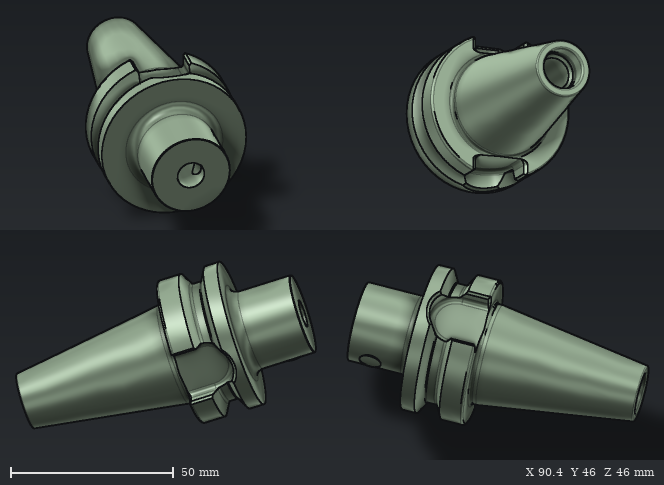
import cadquery as cq
import math

TOTAL_LENGTH = 90.4
GAUGE_X = 48.3
FLANGE_FRONT_X = 50.5
FLANGE_BACK_X = 70.4

GAUGE_RADIUS = 15.9
TAPER_SLOPE = 7 / 48
TAPER_ANGLE = math.atan(TAPER_SLOPE)
TAPER_TIP_FILLET = 0.45

FLANGE_RADIUS = 23.01
FLANGE_ROOT_FILLET = 1.1
FLANGE_FRONT_FILLET = 0.7
GROOVE_FRONT_X = 57.9
GROOVE_BACK_X = 65.9
GROOVE_BOTTOM_RADIUS = 18.94
GROOVE_FLANK_ANGLE = math.radians(30)
GROOVE_FLANK_LENGTH = (FLANGE_RADIUS - GROOVE_BOTTOM_RADIUS) * math.tan(GROOVE_FLANK_ANGLE)
GROOVE_FRONT_FILLET = 1.0
GROOVE_BACK_FILLET = 0.45

NOSE_RADIUS = 12.5
NOSE_ROOT_FILLET = 3.0
NOSE_TIP_CHAMFER = 0.2

SLOT_HALF_WIDTH = 8.05
SLOT_ARC_CENTER_X = 59.3
SLOT_FLOOR_Z = 16.2
SLOT_FLOOR_FILLET = 1.6
SLOT_EDGE_CHAMFER = 0.9
SLOT_MOUTH_LENGTH = 0.7
SLOT_MOUTH_WIDTH = 1.0

MOUTH_FILLET = 0.6
COUNTERBORE_RADIUS = 6.2
COUNTERBORE_END_X = 7.2
RELIEF_START_X = 4.9
RELIEF_END_X = 6.8
RELIEF_DEPTH = 0.2
RELIEF_FLANK_LENGTH = 0.6
DRAWBAR_BORE_RADIUS = 5.11
DRAWBAR_BORE_START_X = 8.0
DRAWBAR_BORE_END_X = 24.4
THROUGH_RADIUS = 4.25

SCREW_X = 83.1
SCREW_RADIUS = 3.4
SCREW_TOP_Y = NOSE_RADIUS - 0.1

CUT_CLEARANCE = 1.8
TOLERANCE = 0.001


def taper_radius(x):
    return GAUGE_RADIUS - (GAUGE_X - x) * TAPER_SLOPE


def revolve_about_x(outline):
    return outline.close().revolve(360, (0, 0, 0), (1, 0, 0))


def groove_profile(outline):
    """Continue the outline from the front rim of the V-groove, down and up to its back rim."""
    half_turn = (math.pi / 2 - GROOVE_FLANK_ANGLE) / 2
    front_setback = GROOVE_FRONT_FILLET * math.tan(half_turn)
    back_setback = GROOVE_BACK_FILLET * math.tan(half_turn)
    front_corner_x = GROOVE_FRONT_X + GROOVE_FLANK_LENGTH
    back_corner_x = GROOVE_BACK_X - GROOVE_FLANK_LENGTH
    along = math.sin(GROOVE_FLANK_ANGLE)
    outward = math.cos(GROOVE_FLANK_ANGLE)
    return (
        outline.lineTo(GROOVE_FRONT_X, FLANGE_RADIUS)
        .lineTo(front_corner_x - front_setback * along, GROOVE_BOTTOM_RADIUS + front_setback * outward)
        .radiusArc((front_corner_x + front_setback, GROOVE_BOTTOM_RADIUS), -GROOVE_FRONT_FILLET)
        .lineTo(back_corner_x - back_setback, GROOVE_BOTTOM_RADIUS)
        .radiusArc(
            (back_corner_x + back_setback * along, GROOVE_BOTTOM_RADIUS + back_setback * outward),
            -GROOVE_BACK_FILLET,
        )
        .lineTo(GROOVE_BACK_X, FLANGE_RADIUS)
    )


def holder_blank():
    """Solid of revolution: taper, grooved flange and nose."""
    tip_setback = TAPER_TIP_FILLET * math.tan((math.pi / 2 - TAPER_ANGLE) / 2)
    tip_arc_end_x = tip_setback * math.cos(TAPER_ANGLE)
    outline = (
        cq.Workplane("XY")
        .lineTo(0, taper_radius(0) - tip_setback)
        .radiusArc((tip_arc_end_x, taper_radius(tip_arc_end_x)), TAPER_TIP_FILLET)
        .lineTo(GAUGE_X, GAUGE_RADIUS)
        .lineTo(FLANGE_FRONT_X - FLANGE_ROOT_FILLET, GAUGE_RADIUS)
        .radiusArc((FLANGE_FRONT_X, GAUGE_RADIUS + FLANGE_ROOT_FILLET), -FLANGE_ROOT_FILLET)
        .lineTo(FLANGE_FRONT_X, FLANGE_RADIUS - FLANGE_FRONT_FILLET)
        .radiusArc((FLANGE_FRONT_X + FLANGE_FRONT_FILLET, FLANGE_RADIUS), FLANGE_FRONT_FILLET)
    )
    outline = (
        groove_profile(outline)
        .lineTo(FLANGE_BACK_X, FLANGE_RADIUS)
        .lineTo(FLANGE_BACK_X, NOSE_RADIUS + NOSE_ROOT_FILLET)
        .radiusArc((FLANGE_BACK_X + NOSE_ROOT_FILLET, NOSE_RADIUS), -NOSE_ROOT_FILLET)
        .lineTo(TOTAL_LENGTH - NOSE_TIP_CHAMFER, NOSE_RADIUS)
        .lineTo(TOTAL_LENGTH, NOSE_RADIUS - NOSE_TIP_CHAMFER)
        .lineTo(TOTAL_LENGTH, 0)
    )
    return revolve_about_x(outline)


def drive_slot():
    """Round-ended slot cutter at +Z with flared mouth and filleted floor."""
    mouth_end_x = FLANGE_FRONT_X + SLOT_MOUTH_LENGTH
    mouth_start_x = FLANGE_FRONT_X - CUT_CLEARANCE
    flare = SLOT_MOUTH_WIDTH / SLOT_MOUTH_LENGTH
    mouth_half_width = SLOT_HALF_WIDTH + (mouth_end_x - mouth_start_x) * flare
    cutter = (
        cq.Workplane("XY", origin=(0, 0, SLOT_FLOOR_Z))
        .moveTo(mouth_start_x, -mouth_half_width)
        .lineTo(mouth_end_x, -SLOT_HALF_WIDTH)
        .lineTo(SLOT_ARC_CENTER_X, -SLOT_HALF_WIDTH)
        .threePointArc((SLOT_ARC_CENTER_X + SLOT_HALF_WIDTH, 0), (SLOT_ARC_CENTER_X, SLOT_HALF_WIDTH))
        .lineTo(mouth_end_x, SLOT_HALF_WIDTH)
        .lineTo(mouth_start_x, mouth_half_width)
        .close()
        .extrude(FLANGE_RADIUS + CUT_CLEARANCE - SLOT_FLOOR_Z)
    )
    return cutter.edges("<Z").edges("not <X").fillet(SLOT_FLOOR_FILLET)


def slot_rim_edges(body):
    """Edges where the slot walls meet the outside cylinder of the flange."""
    rim = []
    for edge in body.edges("not %CIRCLE").vals():
        points = [edge.positionAt(step) for step in (0, 0.5, 1)]
        if all(
            abs(math.hypot(point.y, point.z) - FLANGE_RADIUS) < TOLERANCE
            and abs(point.y) < SLOT_HALF_WIDTH + TOLERANCE
            for point in points
        ):
            rim.append(edge)
    return body.newObject(rim)


def stepped_bore():
    return revolve_about_x(
        cq.Workplane("XY")
        .lineTo(0, COUNTERBORE_RADIUS + MOUTH_FILLET)
        .radiusArc((MOUTH_FILLET, COUNTERBORE_RADIUS), -MOUTH_FILLET)
        .lineTo(RELIEF_START_X, COUNTERBORE_RADIUS)
        .lineTo(RELIEF_START_X + RELIEF_FLANK_LENGTH, COUNTERBORE_RADIUS + RELIEF_DEPTH)
        .lineTo(RELIEF_END_X - RELIEF_FLANK_LENGTH, COUNTERBORE_RADIUS + RELIEF_DEPTH)
        .lineTo(RELIEF_END_X, COUNTERBORE_RADIUS)
        .lineTo(COUNTERBORE_END_X, COUNTERBORE_RADIUS)
        .lineTo(DRAWBAR_BORE_START_X, DRAWBAR_BORE_RADIUS)
        .lineTo(DRAWBAR_BORE_END_X, DRAWBAR_BORE_RADIUS)
        .lineTo(DRAWBAR_BORE_END_X + DRAWBAR_BORE_RADIUS - THROUGH_RADIUS, THROUGH_RADIUS)
        .lineTo(TOTAL_LENGTH, THROUGH_RADIUS)
        .lineTo(TOTAL_LENGTH, 0)
    )


def screw_shaft():
    """Cylinder along +Y from the holder axis to beyond the nose surface."""
    return (
        cq.Workplane("XZ", origin=(SCREW_X, 0, 0))
        .circle(SCREW_RADIUS)
        .extrude(-(NOSE_RADIUS + CUT_CLEARANCE))
    )


def make_holder():
    body = holder_blank()
    slot = drive_slot()
    for angle in (0, 180):
        body = body.cut(slot.rotate((0, 0, 0), (1, 0, 0), angle))
    body = slot_rim_edges(body).chamfer(SLOT_EDGE_CHAMFER)
    return body.cut(stepped_bore()).cut(screw_shaft())


def make_clamping_screw():
    """Plain screw, its flat top just under the nose radius and its tip at the bore wall."""
    bore = cq.Workplane("YZ").circle(THROUGH_RADIUS).extrude(TOTAL_LENGTH)
    shaft = cq.Workplane("XZ", origin=(SCREW_X, 0, 0)).circle(SCREW_RADIUS).extrude(-SCREW_TOP_Y)
    return shaft.cut(bore)


holder = make_holder()
clamping_screw = make_clamping_screw()
result = cq.Compound.makeCompound([holder.val(), clamping_screw.val()])